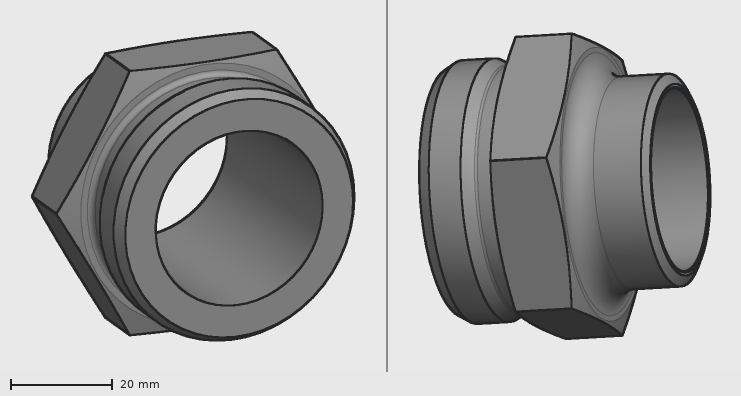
import cadquery as cq
import math

length = 46.0
hex_corner_diameter = 63.4
hex_across_flats = 55.0
bore_diameter = 36.0
bore_chamfer = 0.25

spigot_diameter = 42.0
spigot_end_diameter = 37.8
spigot_chamfer_length = 1.2
fillet_radius = 4.95

hex_sides = 6
hex_start = 16.0
hex_width = 14.15
hex_face_diameter = 54.05
hex_chamfer_angle = 15.0

groove_diameter = 48.9
groove_fillet = 1.15
head_diameter = 52.0
head_chamfer_angle = 30.0
head_start = 36.9
head_chamfer_length = 2.5

spigot_radius = spigot_diameter / 2
groove_radius = groove_diameter / 2
head_radius = head_diameter / 2
hex_corner_radius = hex_corner_diameter / 2
hex_end = hex_start + hex_width
hex_face_radius = hex_face_diameter / 2
hex_chamfer_length = (hex_corner_radius - hex_face_radius) * math.tan(math.radians(hex_chamfer_angle))
head_chamfer = math.radians(head_chamfer_angle)
groove_end = head_start - (head_radius - groove_radius) / math.tan(head_chamfer)
blend_tangent = groove_fillet * math.tan(head_chamfer / 2)
blend_start = groove_end - blend_tangent
head_end_radius = head_radius - head_chamfer_length * math.tan(head_chamfer)
arc_offset = math.sqrt(0.5)


def revolve_about_x(profile):
    """Revolve a closed XY profile a full turn about the X axis."""
    return profile.close().revolve(360, (0, 0, 0), (1, 0, 0))


def turned_body():
    """Spigot, concave fillet, relief groove and chamfered head."""
    return revolve_about_x(
        cq.Workplane("XY")
        .moveTo(0, 0)
        .lineTo(0, spigot_end_diameter / 2)
        .lineTo(spigot_chamfer_length, spigot_radius)
        .lineTo(hex_start - fillet_radius, spigot_radius)
        .threePointArc(
            (
                hex_start - fillet_radius * (1 - arc_offset),
                spigot_radius + fillet_radius * (1 - arc_offset),
            ),
            (hex_start, spigot_radius + fillet_radius),
        )
        .lineTo(hex_end, spigot_radius + fillet_radius)
        .lineTo(hex_end, groove_radius + groove_fillet)
        .threePointArc(
            (
                hex_end + groove_fillet * (1 - arc_offset),
                groove_radius + groove_fillet * (1 - arc_offset),
            ),
            (hex_end + groove_fillet, groove_radius),
        )
        .lineTo(blend_start, groove_radius)
        .threePointArc(
            (
                blend_start + groove_fillet * math.sin(head_chamfer / 2),
                groove_radius + groove_fillet * (1 - math.cos(head_chamfer / 2)),
            ),
            (
                blend_start + groove_fillet * math.sin(head_chamfer),
                groove_radius + groove_fillet * (1 - math.cos(head_chamfer)),
            ),
        )
        .lineTo(head_start, head_radius)
        .lineTo(length - head_chamfer_length, head_radius)
        .lineTo(length, head_end_radius)
        .lineTo(length, 0)
    )


def hex_collar():
    """Hexagon with corners on +Y and -Y, lightly rounded and chamfered on both sides."""
    prism = (
        cq.Workplane("YZ", origin=(hex_start, 0, 0))
        .polygon(hex_sides, hex_across_flats / math.cos(math.pi / hex_sides))
        .extrude(hex_width)
    )
    chamfer_envelope = revolve_about_x(
        cq.Workplane("XY")
        .moveTo(hex_start, 0)
        .lineTo(hex_start, hex_face_radius)
        .lineTo(hex_start + hex_chamfer_length, hex_corner_radius)
        .lineTo(hex_end - hex_chamfer_length, hex_corner_radius)
        .lineTo(hex_end, hex_face_radius)
        .lineTo(hex_end, 0)
    )
    return prism.intersect(chamfer_envelope)


def bore():
    """Through bore along the X axis, with its -X edge broken by a small chamfer."""
    bore_radius = bore_diameter / 2
    return revolve_about_x(
        cq.Workplane("XY")
        .moveTo(0, 0)
        .lineTo(0, bore_radius + bore_chamfer)
        .lineTo(bore_chamfer, bore_radius)
        .lineTo(length, bore_radius)
        .lineTo(length, 0)
    )


result = turned_body().union(hex_collar()).cut(bore())